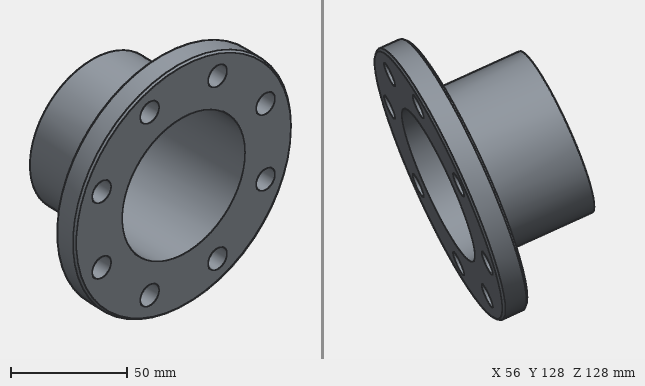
import cadquery as cq
import math

flange_diameter = 128.0
total_length = 56.0
flange_thickness = 12.0
rim_chamfer = 1.0
pipe_outer_diameter = 76.2
bore_diameter = 72.0
neck_fillet = 4.0

bolt_count = 8
bolt_hole_diameter = 11.0
bolt_circle_diameter = 104.0
first_bolt_angle = 180 / bolt_count

flange_radius = flange_diameter / 2
pipe_radius = pipe_outer_diameter / 2
bore_radius = bore_diameter / 2
flange_face_x = total_length - flange_thickness


def turned_body():
    """Pipe stub, concave neck fillet and chamfered flange, revolved about X."""
    fillet_centre_x = flange_face_x - neck_fillet
    fillet_centre_radius = pipe_radius + neck_fillet
    diagonal = neck_fillet * math.sqrt(0.5)
    fillet_middle = (fillet_centre_x + diagonal, fillet_centre_radius - diagonal)
    return (
        cq.Workplane("XY")
        .moveTo(0, bore_radius)
        .lineTo(0, pipe_radius)
        .lineTo(fillet_centre_x, pipe_radius)
        .threePointArc(fillet_middle, (flange_face_x, fillet_centre_radius))
        .lineTo(flange_face_x, flange_radius - rim_chamfer)
        .lineTo(flange_face_x + rim_chamfer, flange_radius)
        .lineTo(total_length - rim_chamfer, flange_radius)
        .lineTo(total_length, flange_radius - rim_chamfer)
        .lineTo(total_length, bore_radius)
        .close()
        .revolve(360, (0, 0, 0), (1, 0, 0))
    )


def bolt_holes():
    """Cutting cylinders for the bolt holes through the flange."""
    return (
        cq.Workplane("YZ", origin=(flange_face_x, 0, 0))
        .polarArray(bolt_circle_diameter / 2, first_bolt_angle, 360, bolt_count)
        .circle(bolt_hole_diameter / 2)
        .extrude(flange_thickness)
    )


result = turned_body().cut(bolt_holes())